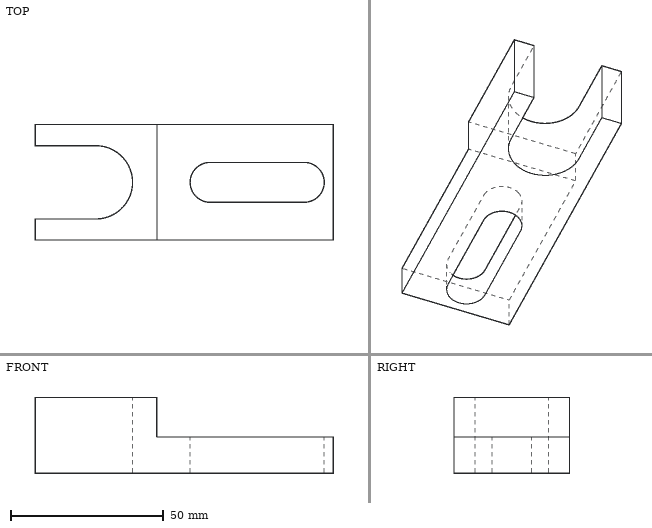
import cadquery as cq

length = 98.0
width = 38.0
block_height = 25.0
block_length = 40.0
plate_height = 12.0

fork_width = 24.0
fork_radius = fork_width / 2
fork_center_x = 20.0

slot_width = 13.0
slot_length = 44.0
slot_end_margin = 3.0
slot_center_x = length - slot_end_margin - slot_length / 2


def stepped_body():
    """Low plate with a taller block at the -X end, centered on Y."""
    return (
        cq.Workplane("XZ")
        .polyline([
            (0, 0),
            (length, 0),
            (length, plate_height),
            (block_length, plate_height),
            (block_length, block_height),
            (0, block_height),
        ])
        .close()
        .extrude(width / 2, both=True)
    )


def fork_cutter():
    """U-shaped slot, open toward -X, through the full block height."""
    return (
        cq.Workplane("XY")
        .moveTo(0, -fork_radius)
        .lineTo(fork_center_x, -fork_radius)
        .threePointArc((fork_center_x + fork_radius, 0), (fork_center_x, fork_radius))
        .lineTo(0, fork_radius)
        .close()
        .extrude(block_height)
    )


def slot_cutter():
    """Round-ended slot through the plate."""
    return (
        cq.Workplane("XY")
        .center(slot_center_x, 0)
        .slot2D(slot_length, slot_width)
        .extrude(plate_height)
    )


result = stepped_body().cut(fork_cutter()).cut(slot_cutter())